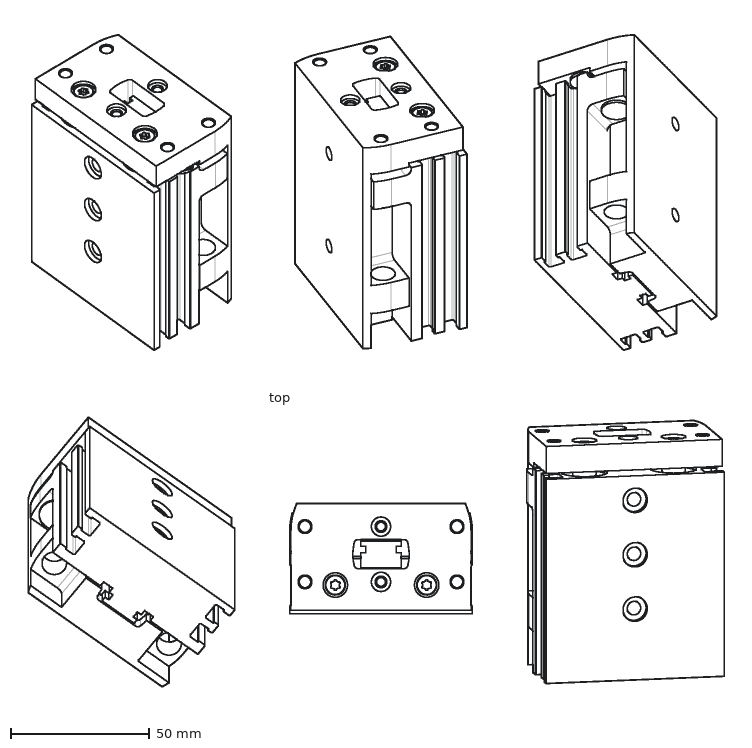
import cadquery as cq
import math

HEIGHT = 87.0
DEPTH = 40.0
HOUSING_WIDTH = 66.0
SLIDE_WIDTH = 65.2
HOUSING_TOP = 75.2
HOUSING_BACK = 22.0

CURVE_START = 29.9
CURVE_INSET = 2.1
CURVE_RUN = DEPTH - CURVE_START
CURVE_RADIUS = (CURVE_RUN**2 + CURVE_INSET**2) / (2 * CURVE_INSET)

RAIL_HALF_WIDTH = 7.3
RAIL_FRONT = 16.6
RAIL_BACK = 26.4
RAIL_TOP = 80.6
NOTCH_DEPTH = 1.7
NOTCH_FRONT = 22.1
NOTCH_BACK = 24.5

PAD_X = 16.5
PAD_Y = 10.4
PAD_RECESS_DEPTH = 1.0

ACCESS_HEIGHTS = [66.1, 46.1, 26.1]
ACCESS_DIAMETER = 5.0

STOP_X = 26.1
STOP_Y = 30.2


def box(x0, x1, y0, y1, z0, z1):
    """Box between two opposite corners."""
    return cq.Workplane("XY").box(x1 - x0, y1 - y0, z1 - z0, centered=False).translate((x0, y0, z0))


def cylinder(x, y, z0, z1, diameter):
    """Upright cylinder."""
    return cq.Workplane("XY", origin=(x, y, z0)).circle(diameter / 2).extrude(z1 - z0)


def countersink(x, y, z_top, diameter, bottom_diameter):
    """45 degree cone that narrows downwards from z_top."""
    depth = (diameter - bottom_diameter) / 2
    base = cq.Vector(x, y, z_top - depth)
    return cq.Workplane(cq.Solid.makeCone(bottom_diameter / 2, diameter / 2, depth, base))


def both_sides(shape):
    """A shape together with its mirror image across the plane x = 0."""
    return shape.union(shape.mirror("YZ"))


def curved_block(width, y0, y1, z0, z1):
    """Block whose sides curve inwards towards the back, cut off at y1."""
    half = width / 2

    def side(y):
        """Half width at depth y on the curved stretch."""
        return half - CURVE_RADIUS + math.sqrt(CURVE_RADIUS**2 - (y - CURVE_START) ** 2)

    middle = (CURVE_START + y1) / 2
    return (
        cq.Workplane("XY", origin=(0, 0, z0))
        .moveTo(-half, y0)
        .lineTo(half, y0)
        .lineTo(half, CURVE_START)
        .threePointArc((side(middle), middle), (side(y1), y1))
        .lineTo(-side(y1), y1)
        .threePointArc((-side(middle), middle), (-half, CURVE_START))
        .close()
        .extrude(z1 - z0)
    )


ARM_BOTTOM = 60.4
ARM_TOP = 72.3
ARM_BACK = 36.5
ARM_INNER_X = 18.3
ARM_FILLET = 2.3
STOP_DIAMETER = 11.0
STOP_LENGTH = 1.0

SLOT_CENTERS = [5.65, 15.0]
SLOT_MOUTH = 5.2
SLOT_LIP = 3.0
SLOT_UNDERCUT = 0.6
SLOT_DEPTH = 6.8
SLOT_CORNER = 0.6
SLOT_CHAMFER = 0.3
RIDGE_INSET = 1.0

TROUGH_HALF_WIDTH = 11.3
TROUGH_FLOOR = 20.1
PAD_RECESS_DIAMETER = 16.5
COUNTERBORE_DIAMETER = 9.0
COUNTERBORE_DEPTH = 2.0
BUTTON_X = 27.9
BUTTON_Y = 17.4
BUTTON_DIAMETER = 9.5
BUTTON_HEIGHT = 1.7
BUTTON_CHAMFER = 0.5


def mouth_chamfer(x, y, outward):
    """Wedge that breaks the slot edge at (x, y); outward is the y direction away from the slot."""
    return (
        cq.Workplane("XY")
        .moveTo(x, y)
        .lineTo(x, y + outward * SLOT_CHAMFER)
        .lineTo(x + SLOT_CHAMFER, y)
        .close()
        .extrude(HOUSING_TOP)
    )


def t_slot(center, front_x, back_x):
    """T-slot along Z in the -X side, between faces at x = front_x and x = back_x."""
    outer = -HOUSING_WIDTH / 2
    front = center - SLOT_MOUTH / 2
    back = center + SLOT_MOUTH / 2
    lip_end = outer + SLOT_LIP
    mouth = box(outer, lip_end, front, back, 0, HOUSING_TOP)
    chamber = box(
        lip_end, outer + SLOT_DEPTH, front - SLOT_UNDERCUT, back + SLOT_UNDERCUT, 0, HOUSING_TOP
    )
    chamber = chamber.edges("|Z and >X").fillet(SLOT_CORNER)
    slot = mouth.union(chamber)
    return slot.union(mouth_chamfer(front_x, front, -1)).union(mouth_chamfer(back_x, back, 1))


def side_slots():
    """Both T-slots of the -X side and the step that sets the ridge between them back."""
    outer = -HOUSING_WIDTH / 2
    ridge = outer + RIDGE_INSET
    front, back = SLOT_CENTERS
    step = box(outer, ridge, front, back, 0, HOUSING_TOP)
    return t_slot(front, outer, ridge).union(t_slot(back, ridge, outer)).union(step)


def arms():
    """Arms that reach behind the block on both sides, with rounded roots and stops below."""
    bar = curved_block(HOUSING_WIDTH, HOUSING_BACK, ARM_BACK, ARM_BOTTOM, ARM_TOP)
    bar = bar.cut(box(-ARM_INNER_X, ARM_INNER_X, HOUSING_BACK, ARM_BACK, ARM_BOTTOM, ARM_TOP))
    stop = cylinder(-STOP_X, STOP_Y, ARM_BOTTOM - STOP_LENGTH, ARM_BOTTOM, STOP_DIAMETER)
    bar = bar.union(both_sides(stop))
    for edge, outward in ((ARM_BOTTOM, -1), (ARM_TOP, 1)):
        tip = edge + outward * ARM_FILLET
        bend = ARM_FILLET * (1 - math.sqrt(0.5))
        root = (
            cq.Workplane("YZ", origin=(-HOUSING_WIDTH / 2, 0, 0))
            .moveTo(HOUSING_BACK, edge)
            .lineTo(HOUSING_BACK + ARM_FILLET, edge)
            .threePointArc((HOUSING_BACK + bend, edge + outward * bend), (HOUSING_BACK, tip))
            .close()
            .extrude(HOUSING_WIDTH / 2 - ARM_INNER_X)
        )
        bar = bar.union(both_sides(root))
    return bar


def make_rail():
    """Upright rail with a running groove in each side."""
    rail = box(-RAIL_HALF_WIDTH, RAIL_HALF_WIDTH, RAIL_FRONT, RAIL_BACK, 0, RAIL_TOP)
    notch = box(
        -RAIL_HALF_WIDTH, NOTCH_DEPTH - RAIL_HALF_WIDTH, NOTCH_FRONT, NOTCH_BACK, 0, RAIL_TOP
    )
    return rail.cut(both_sides(notch))


def make_housing():
    half = HOUSING_WIDTH / 2
    body = box(-half, half, 0, HOUSING_BACK, 0, HOUSING_TOP)
    body = body.cut(both_sides(side_slots()))
    body = body.cut(
        box(-TROUGH_HALF_WIDTH, TROUGH_HALF_WIDTH, TROUGH_FLOOR, HOUSING_BACK, 0, HOUSING_TOP)
    )
    recess = cylinder(-PAD_X, PAD_Y, HOUSING_TOP - PAD_RECESS_DEPTH, HOUSING_TOP, PAD_RECESS_DIAMETER)
    body = body.cut(both_sides(recess))
    body = body.union(arms()).union(make_rail())
    button = cylinder(BUTTON_X, BUTTON_Y, HOUSING_TOP, HOUSING_TOP + BUTTON_HEIGHT, BUTTON_DIAMETER)
    body = body.union(button.faces(">Z").chamfer(BUTTON_CHAMFER))
    for z in ACCESS_HEIGHTS:
        front = cq.Workplane("XZ", origin=(0, 0, z))
        body = body.cut(front.circle(ACCESS_DIAMETER / 2).extrude(-DEPTH))
        body = body.cut(front.circle(COUNTERBORE_DIAMETER / 2).extrude(-COUNTERBORE_DEPTH))
    return body


PLATE_FRONT = 1.4
PLATE_BOTTOM = 77.1
REAR_PLATE_BOTTOM = 75.4
SPINE_FRONT = 22.7
SPINE_HALF_WIDTH = 17.4
BACK_WALL_FRONT = 37.2
CROSS_BOTTOM = 15.05
CROSS_TOP = 27.2
SPINE_FILLET = 2.1
CROSS_HOLE_DIAMETER = 8.9

WINDOW_FRONT = 16.35
WINDOW_BACK = 26.9
WINDOW_HALF_WIDTH = 10.2
WINDOW_END_HALF_WIDTH = 9.4
WINDOW_CORNER = 1.4

BEARING_BOTTOM = 6.1
BEARING_TOP = 49.3
BEARING_FRONT = 20.8
BEARING_HALF_WIDTH = 10.9

PAD_DIAMETER = 8.5
MOUNT_X = 27.5
MOUNT_FRONT_Y = 11.6
MOUNT_BACK_Y = 31.6
MOUNT_DEPTH = 7.8
THREAD_DIAMETER = 4.2
THREAD_MOUTH = 5.0
PLUG_RECESS_DIAMETER = 7.0
PLUG_RECESS_DEPTH = 1.6
PLUG_HOLE_DIAMETER = 3.2
PLUG_HOLE_MOUTH = 4.2
PLUG_HOLE_DEPTH = 5.2
SCREW_RECESS_DIAMETER = 8.9
SCREW_RECESS_DEPTH = 1.3
SCREW_HEAD_DIAMETER = 7.2
SCREW_HEAD_CHAMFER = 0.2
SCREW_HEAD_HEIGHT = 0.3
SOCKET_DEPTH = 1.7
SOCKET_CORE_DIAMETER = 3.0
LOBE_COUNT = 6
LOBE_DIAMETER = 0.9
LOBE_RADIUS = 1.5


def slide_frame():
    """Top plate, back wall, spine and cross plate, before the holes."""
    frame = curved_block(SLIDE_WIDTH, PLATE_FRONT, DEPTH, 0, HEIGHT)
    half = SLIDE_WIDTH / 2
    frame = frame.cut(box(-half, half, PLATE_FRONT, SPINE_FRONT, 0, PLATE_BOTTOM))
    upper_bay = box(
        -half, -SPINE_HALF_WIDTH, SPINE_FRONT, BACK_WALL_FRONT, CROSS_TOP, REAR_PLATE_BOTTOM
    ).edges("|Y and >X").fillet(SPINE_FILLET)
    lower_bay = box(
        -half, -SPINE_HALF_WIDTH, SPINE_FRONT, BACK_WALL_FRONT, 0, CROSS_BOTTOM
    ).edges("|Y and >X and >Z").fillet(SPINE_FILLET)
    hole = cylinder(-STOP_X, STOP_Y, CROSS_BOTTOM, CROSS_TOP, CROSS_HOLE_DIAMETER)
    return frame.cut(both_sides(upper_bay.union(lower_bay).union(hole)))


def window():
    """Rail channel with bowed ends and rounded corners, over the full height."""
    middle = (WINDOW_FRONT + WINDOW_BACK) / 2
    end = WINDOW_END_HALF_WIDTH
    return (
        cq.Workplane("XY")
        .moveTo(-end, WINDOW_FRONT)
        .lineTo(end, WINDOW_FRONT)
        .threePointArc((WINDOW_HALF_WIDTH, middle), (end, WINDOW_BACK))
        .lineTo(-end, WINDOW_BACK)
        .threePointArc((-WINDOW_HALF_WIDTH, middle), (-end, WINDOW_FRONT))
        .close()
        .extrude(HEIGHT)
        .edges("|Z")
        .fillet(WINDOW_CORNER)
    )


def bearing():
    """Blocks on both sides of the rail, each with a tongue in the rail groove."""
    block = box(
        -BEARING_HALF_WIDTH, -RAIL_HALF_WIDTH, BEARING_FRONT, WINDOW_BACK, BEARING_BOTTOM, BEARING_TOP
    )
    tongue = box(
        -RAIL_HALF_WIDTH, NOTCH_DEPTH - RAIL_HALF_WIDTH, NOTCH_FRONT, NOTCH_BACK, BEARING_BOTTOM, BEARING_TOP
    )
    return both_sides(block.union(tongue))


def mounting_hole(x, y):
    """Blind threaded hole in the plate with a countersunk mouth."""
    hole = cylinder(x, y, HEIGHT - MOUNT_DEPTH, HEIGHT, THREAD_DIAMETER)
    return hole.union(countersink(x, y, HEIGHT, THREAD_MOUTH, THREAD_DIAMETER))


def plug_hole(y):
    """Stepped blind hole on the centre line of the plate."""
    floor = HEIGHT - PLUG_RECESS_DEPTH
    recess = cylinder(0, y, floor, HEIGHT, PLUG_RECESS_DIAMETER)
    hole = cylinder(0, y, floor - PLUG_HOLE_DEPTH, floor, PLUG_HOLE_DIAMETER)
    return recess.union(hole).union(countersink(0, y, floor, PLUG_HOLE_MOUTH, PLUG_HOLE_DIAMETER))


def screw_recess():
    """Recess around a low screw head with a six-lobed socket, on the -X side."""
    floor = HEIGHT - SCREW_RECESS_DEPTH
    head_top = floor + SCREW_HEAD_HEIGHT
    recess = cylinder(-PAD_X, PAD_Y, floor, HEIGHT, SCREW_RECESS_DIAMETER)
    head = cylinder(-PAD_X, PAD_Y, floor, head_top, SCREW_HEAD_DIAMETER)
    recess = recess.cut(head.faces(">Z").chamfer(SCREW_HEAD_CHAMFER))
    socket_floor = head_top - SOCKET_DEPTH
    socket = cylinder(-PAD_X, PAD_Y, socket_floor, head_top, SOCKET_CORE_DIAMETER)
    for i in range(LOBE_COUNT):
        angle = math.pi / 2 + 2 * math.pi * i / LOBE_COUNT
        lobe_x = LOBE_RADIUS * math.cos(angle) - PAD_X
        lobe_y = LOBE_RADIUS * math.sin(angle) + PAD_Y
        socket = socket.union(cylinder(lobe_x, lobe_y, socket_floor, head_top, LOBE_DIAMETER))
    return recess.union(socket)


def make_slide():
    body = slide_frame().cut(window()).union(bearing())
    pad = cylinder(-PAD_X, PAD_Y, HOUSING_TOP - PAD_RECESS_DEPTH, PLATE_BOTTOM, PAD_DIAMETER)
    body = body.union(both_sides(pad))
    for y in (MOUNT_FRONT_Y, MOUNT_BACK_Y):
        body = body.cut(both_sides(mounting_hole(-MOUNT_X, y)))
        body = body.cut(plug_hole(y))
    body = body.cut(both_sides(screw_recess()))
    for z in (ACCESS_HEIGHTS[0], ACCESS_HEIGHTS[-1]):
        body = body.cut(cq.Workplane("XZ", origin=(0, 0, z)).circle(ACCESS_DIAMETER / 2).extrude(-DEPTH))
    return body


housing = make_housing()
slide = make_slide()
result = cq.Compound.makeCompound([housing.solids().val(), slide.solids().val()])